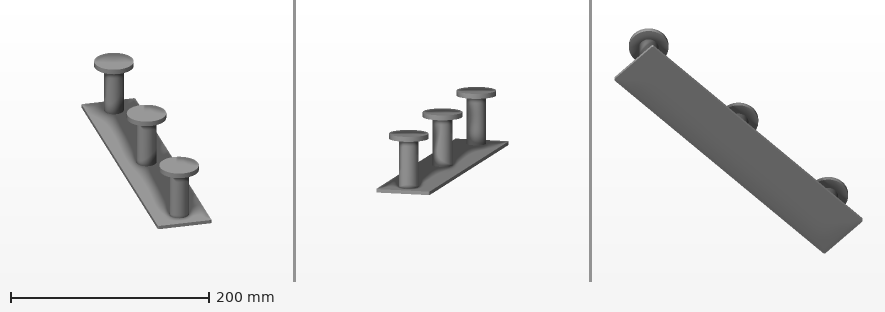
import cadquery as cq

plate_length = 298.0
plate_width = 56.0
plate_thickness = 3.5
corner_radius = 1.5

total_height = 58.0
peg_spacing = 127.0
post_diameter = 20.0
disc_diameter = 40.0
disc_thickness = 5.0


def make_plate():
    """Flat plate with its underside on Z = 0 and small rounded corners."""
    plate = cq.Workplane("XY").box(
        plate_length, plate_width, plate_thickness, centered=(True, True, False)
    )
    return plate.edges("|Z").fillet(corner_radius)


def make_peg(x):
    """Post rising from the plate with a disc on top."""
    post_height = total_height - plate_thickness - disc_thickness
    post = (
        cq.Workplane("XY", origin=(x, 0, plate_thickness))
        .circle(post_diameter / 2)
        .extrude(post_height)
    )
    disc = (
        cq.Workplane("XY", origin=(x, 0, total_height - disc_thickness))
        .circle(disc_diameter / 2)
        .extrude(disc_thickness)
    )
    return post.union(disc)


result = make_plate()
for peg_x in (-peg_spacing, 0, peg_spacing):
    result = result.union(make_peg(peg_x))